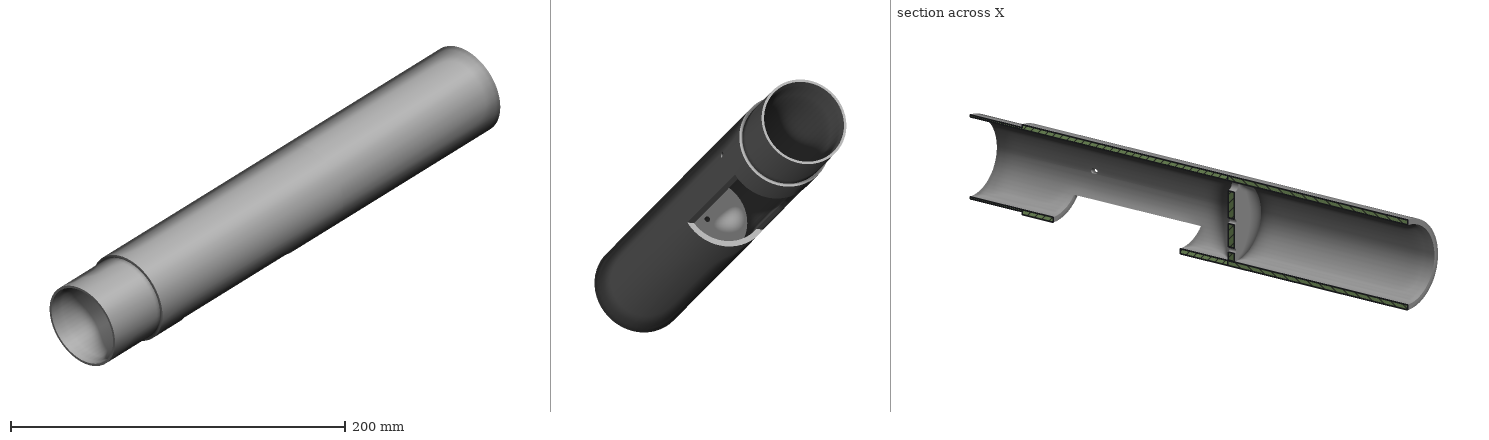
import cadquery as cq

total_length = 340.0
outer_diameter = 56.8
bore_diameter = 50.0

spigot_length = 40.0
spigot_diameter = 53.0
rear_tube_length = 139.7
front_y = -total_length / 2
shoulder_y = front_y + spigot_length
rear_y = total_length / 2
joint_y = rear_y - rear_tube_length

window_length = 98.5
window_setback = 24.5
window_top_z = -15.5

side_slot_width = 3.0
side_slot_length = 5.0
side_slot_setback = 35.7

bulkhead_thickness = 5.0
center_hole_diameter = 3.5
lower_hole_diameter = 3.0
lower_hole_z = -18.0
cable_hole_diameter = 7.0
cable_hole_z = 22.5


def rod(diameter, start_y, end_y, z=0.0):
    """Solid cylinder parallel to Y between two stations."""
    profile = cq.Workplane("XZ", origin=(0, start_y, z)).circle(diameter / 2)
    return profile.extrude(start_y - end_y)


def make_front_tube():
    """Tube with a reduced spigot, an underside window and a side slot."""
    body = rod(outer_diameter, shoulder_y, joint_y)
    spigot = rod(spigot_diameter, front_y, shoulder_y)
    bore = rod(bore_diameter, front_y, joint_y)
    tube = body.union(spigot).cut(bore)

    window_depth = outer_diameter / 2 + window_top_z
    window = cq.Workplane("XY").box(
        outer_diameter, window_length, window_depth, centered=(True, False, False)
    )
    window = window.translate((0, shoulder_y + window_setback, -outer_diameter / 2))

    side_slot_y = shoulder_y + side_slot_setback
    side_slot = cq.Workplane("YZ").center(side_slot_y, 0).slot2D(side_slot_length, side_slot_width)
    side_slot = side_slot.extrude(-outer_diameter / 2)
    return tube.cut(window).cut(side_slot)


def make_rear_tube():
    """Plain tube that continues the front tube at the joint."""
    return rod(outer_diameter, joint_y, rear_y).cut(rod(bore_diameter, joint_y, rear_y))


def make_bulkhead():
    """Disc inside the rear tube, flush with the joint."""
    back_y = joint_y + bulkhead_thickness
    disc = rod(bore_diameter, joint_y, back_y)
    disc = disc.cut(rod(center_hole_diameter, joint_y, back_y))
    disc = disc.cut(rod(lower_hole_diameter, joint_y, back_y, lower_hole_z))
    return disc.cut(rod(cable_hole_diameter, joint_y, back_y, cable_hole_z))


front_tube = make_front_tube()
rear_tube = make_rear_tube()
bulkhead = make_bulkhead()

result = cq.Compound.makeCompound([front_tube.val(), rear_tube.val(), bulkhead.val()])